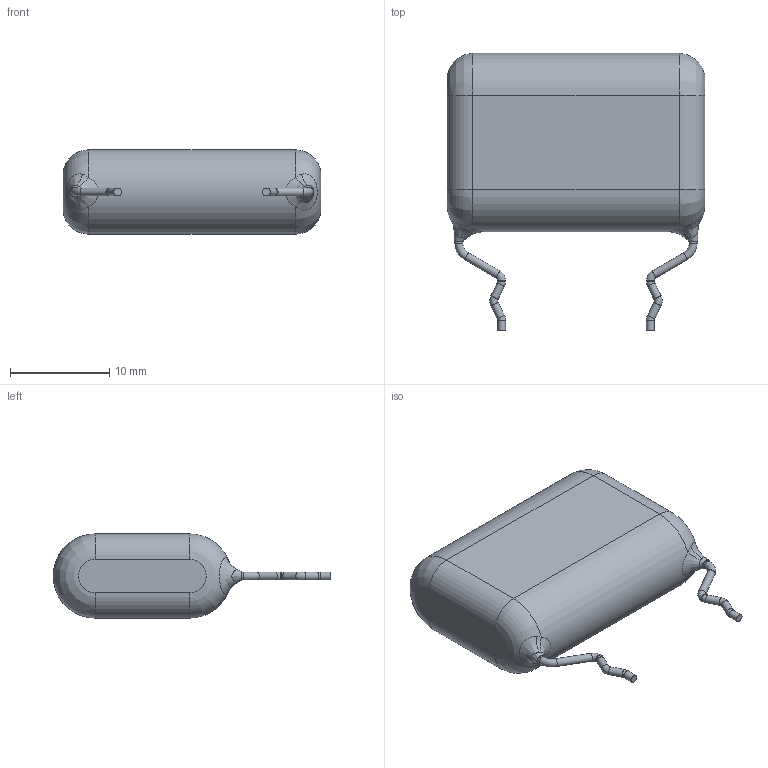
import cadquery as cq
import math


CASE_WIDTH = 26.0
CASE_DEPTH = 18.0
CASE_HEIGHT = 8.5
CASE_END_FILLET = 2.57
CASE_FRONT_Y = -CASE_DEPTH / 2

LEAD_RADIUS = 0.4
LEAD_REACH = 10.0
LEAD_PITCH = 15.0
LEAD_ROOT_SPACING = 23.6
SHOULDER_START = 1.17
SHOULDER_RADIUS = 1.5
SHOULDER_ANGLE = 60.0
KINK_START = 5.0
KINK_END = 8.93
KINK_RADIUS = 0.75
KINK_ANGLE = 26.0

NIPPLE_LENGTH = 0.95
NIPPLE_TIP_RADIUS = 0.475
NIPPLE_INNER_ANGLE = 43.0
NIPPLE_ROOT_DEPTH = 1.6
NIPPLE_FILLET = 2.4
NIPPLE_TIP_Y = CASE_FRONT_Y - NIPPLE_LENGTH


def make_pillow():
    """Stadium section along X, with both ends rounded over."""
    return (
        cq.Workplane("YZ")
        .slot2D(CASE_DEPTH, CASE_HEIGHT)
        .extrude(CASE_WIDTH / 2, both=True)
        .faces("<X or >X")
        .edges()
        .fillet(CASE_END_FILLET)
    )


def make_nipple(side):
    """Oblique cone from the nipple tip into the case; side is -1 or 1."""
    length = NIPPLE_LENGTH + NIPPLE_ROOT_DEPTH
    growth = length * math.tan(math.radians(NIPPLE_INNER_ANGLE)) / 2
    tip_x = side * LEAD_ROOT_SPACING / 2
    along_y = cq.Vector(0, 1, 0)
    tip = cq.Wire.makeCircle(NIPPLE_TIP_RADIUS, cq.Vector(tip_x, NIPPLE_TIP_Y, 0), along_y)
    root_center = cq.Vector(tip_x - side * growth, NIPPLE_TIP_Y + length, 0)
    root = cq.Wire.makeCircle(NIPPLE_TIP_RADIUS + growth, root_center, along_y)
    return cq.Workplane(cq.Solid.makeLoft([tip, root], True))


def make_case():
    """Pillow and both nipples, blended together as one body."""
    case = make_pillow()
    for side in (-1, 1):
        case = case.union(make_nipple(side))
    roots = [edge for edge in case.edges("%BSPLINE").vals() if edge.IsClosed()]
    return case.newObject(roots).fillet(NIPPLE_FILLET)


def bend_setback(radius, angle):
    """Distance from a path corner to the start of the bend that rounds it."""
    return radius * math.tan(math.radians(angle) / 2)


def rounded_path(start, bends, end):
    """Straight runs from start to end, with each (corner, radius) of bends rounded by an arc."""
    corners = [cq.Vector(*corner) for corner, _ in bends]
    stops = [cq.Vector(*start), *corners, cq.Vector(*end)]
    path = cq.Workplane("XY").moveTo(*start)
    for index, (_, radius) in enumerate(bends, start=1):
        corner = stops[index]
        backward = (stops[index - 1] - corner).normalized()
        forward = (stops[index + 1] - corner).normalized()
        half_opening = backward.getAngle(forward) / 2
        setback = radius / math.tan(half_opening)
        to_middle = radius / math.sin(half_opening) - radius
        bend_start = corner + backward * setback
        bend_middle = corner + (backward + forward).normalized() * to_middle
        bend_end = corner + forward * setback
        path = path.lineTo(bend_start.x, bend_start.y)
        path = path.threePointArc((bend_middle.x, bend_middle.y), (bend_end.x, bend_end.y))
    return path.lineTo(*end)


def make_lead(side):
    """Round wire from the nipple tip to the lead tip; side is -1 or 1."""
    root_x = LEAD_ROOT_SPACING / 2
    tip_x = LEAD_PITCH / 2
    shoulder = SHOULDER_START + bend_setback(SHOULDER_RADIUS, SHOULDER_ANGLE)
    knee = shoulder + (root_x - tip_x) / math.tan(math.radians(SHOULDER_ANGLE))
    kink_setback = bend_setback(KINK_RADIUS, KINK_ANGLE)
    kink_top = KINK_START + kink_setback
    kink_bottom = KINK_END - kink_setback
    kink_middle = (kink_top + kink_bottom) / 2
    kink_x = tip_x + (kink_middle - kink_top) * math.tan(math.radians(KINK_ANGLE))

    def place(x, reach):
        return (side * x, CASE_FRONT_Y - reach)

    path = rounded_path(
        place(root_x, NIPPLE_LENGTH),
        [
            (place(root_x, shoulder), SHOULDER_RADIUS),
            (place(tip_x, knee), KINK_RADIUS),
            (place(tip_x, kink_top), KINK_RADIUS),
            (place(kink_x, kink_middle), KINK_RADIUS),
            (place(tip_x, kink_bottom), KINK_RADIUS),
        ],
        place(tip_x, LEAD_REACH),
    )
    root_plane = cq.Workplane("XZ", origin=(side * root_x, NIPPLE_TIP_Y, 0))
    return root_plane.circle(LEAD_RADIUS).sweep(path)


case = make_case()
leads = [make_lead(side) for side in (-1, 1)]

result = cq.Compound.makeCompound([case.val(), *(lead.val() for lead in leads)])